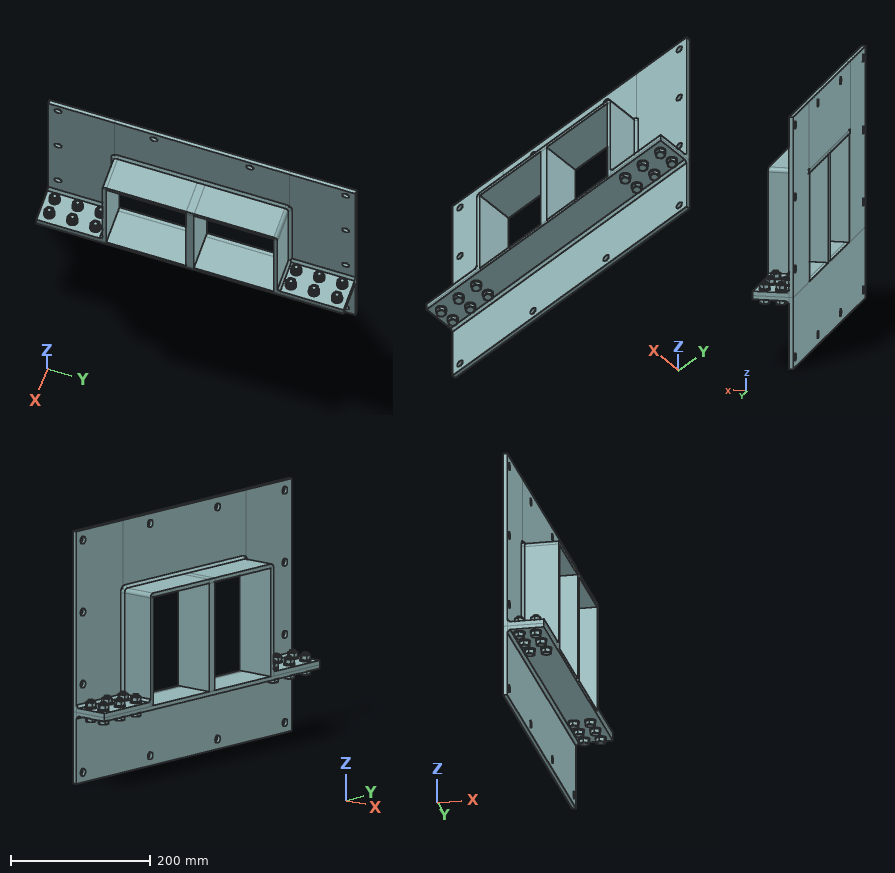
import cadquery as cq
import math

PANEL_WIDTH = 465.0
PANEL_HEIGHT = 371.5
DEPTH = 60.0
SHEET = 6.0
BORDER = 100.0
JOINT_Z = 106.0
FLANGE_TOP = JOINT_Z + SHEET
FLANGE_BOTTOM = JOINT_Z - SHEET

DIVIDER = 12.0
DUCT_WIDTH = PANEL_WIDTH - 2 * BORDER
DUCT_TOP = PANEL_HEIGHT - BORDER
HALF_PANEL = PANEL_WIDTH / 2
HALF_DUCT = DUCT_WIDTH / 2

WELD_LEG = 4.0

PANEL_HOLE_DIAMETER = 10.5
PANEL_HOLE_MARGIN = 15.0
HOLE_ROW_STEP = 106.0

BOLT_X = (21.0, 45.0)
BOLT_END_MARGIN = 15.0
BOLT_PITCH = 35.0
BOLTS_PER_ROW = 3
SHANK_DIAMETER = 8.0
SHANK_TIP_DIAMETER = 6.5
SHANK_PROJECTION = 3.0
WASHER_DIAMETER = 16.0
WASHER_THICKNESS = 1.6
HEX_FLATS = 13.0
HEX_FACE_DIAMETER = 11.5
HEX_CHAMFER_ANGLE = 30.0
NUT_HEIGHT = 7.5
HEAD_HEIGHT = 6.5


def block(x_range, y_range, z_range):
    """Box spanning the given (low, high) ranges."""
    lows, highs = zip(x_range, y_range, z_range)
    sizes = [high - low for low, high in zip(lows, highs)]
    return cq.Workplane("XY").box(*sizes, centered=False).translate(lows)


def mirrored(body):
    """The body and its mirror image across Y = 0."""
    return [body, body.mirror("XZ")]


def panel_plates():
    thickness = (0, SHEET)
    lower = block(thickness, (-HALF_PANEL, HALF_PANEL), (0, JOINT_Z))
    upper = block(thickness, (-HALF_DUCT, HALF_DUCT), (DUCT_TOP, PANEL_HEIGHT))
    side = block(thickness, (HALF_DUCT, HALF_PANEL), (JOINT_Z, PANEL_HEIGHT))
    return [lower, upper] + mirrored(side)


def flanges():
    reach = (SHEET, DEPTH)
    lower = block(reach, (-HALF_PANEL, HALF_PANEL), (FLANGE_BOTTOM, JOINT_Z))
    upper = block(reach, (HALF_DUCT, HALF_PANEL), (JOINT_Z, FLANGE_TOP))
    return [lower] + mirrored(upper)


def duct_walls():
    depth = (0, DEPTH)
    inner_y = HALF_DUCT - SHEET
    inner_top = DUCT_TOP - SHEET
    side = block(depth, (inner_y, HALF_DUCT), (JOINT_Z, inner_top))
    divider_y = (-DIVIDER / 2, DIVIDER / 2)
    divider = block(depth, divider_y, (JOINT_Z, inner_top))
    divider_cap = block(depth, divider_y, (inner_top, DUCT_TOP))
    roof = block(depth, (DIVIDER / 2, inner_y), (inner_top, DUCT_TOP))
    corner_bead = (
        cq.Workplane("YZ")
        .moveTo(inner_y, inner_top)
        .lineTo(HALF_DUCT, inner_top)
        .radiusArc((inner_y, DUCT_TOP), -SHEET)
        .close()
        .extrude(DEPTH)
    )
    return [divider, divider_cap] + mirrored(side) + mirrored(roof) + mirrored(corner_bead)


def duct_outline(x, growth):
    """Closed outline around the duct, grown outwards, at the given X."""
    half = HALF_DUCT + growth
    top = DUCT_TOP + growth
    radius = SHEET + growth
    return (
        cq.Workplane("YZ", origin=(x, 0, 0))
        .moveTo(-half, JOINT_Z)
        .lineTo(half, JOINT_Z)
        .lineTo(half, top - radius)
        .radiusArc((half - radius, top), -radius)
        .lineTo(radius - half, top)
        .radiusArc((-half, top - radius), -radius)
        .close()
    )


def duct_weld():
    """Fillet weld running round the duct where it meets the back of the panel."""
    wide = duct_outline(SHEET, WELD_LEG).val()
    narrow = duct_outline(SHEET + WELD_LEG, 0).val()
    bead = cq.Workplane(cq.Solid.makeLoft([wide, narrow], True))
    return bead.cut(duct_outline(SHEET, 0).extrude(DEPTH))


def weld_bead(plane, origin, up, length):
    """Triangular bead: one leg along the plane's first axis, one up or down its second."""
    return (
        cq.Workplane(plane, origin=origin)
        .polyline([(0, 0), (WELD_LEG, 0), (0, up * WELD_LEG)])
        .close()
        .extrude(length)
    )


def flange_welds():
    """Fillet welds along the flange roots and beside the duct walls."""
    under = weld_bead("XZ", (SHEET, HALF_PANEL, FLANGE_BOTTOM), -1, PANEL_WIDTH)
    over = weld_bead("XZ", (SHEET, HALF_PANEL, FLANGE_TOP), 1, BORDER)
    beside_duct = weld_bead("YZ", (SHEET, HALF_DUCT, FLANGE_TOP), 1, DEPTH - SHEET)
    return [under] + mirrored(over) + mirrored(beside_duct)


def chamfered_hexagon(height):
    """Hexagon on Z = 0 whose upper corners are turned off by a shallow cone."""
    corner_diameter = HEX_FLATS / math.cos(math.pi / 6)
    slope = math.tan(math.radians(HEX_CHAMFER_ANGLE))
    corner_drop = (corner_diameter - HEX_FACE_DIAMETER) / 2 * slope
    hexagon = (
        cq.Workplane("XY")
        .polygon(6, corner_diameter)
        .extrude(height)
        .rotate((0, 0, 0), (0, 0, 1), 90)
    )
    turned = (
        cq.Workplane("XZ")
        .polyline([
            (0, 0),
            (corner_diameter / 2, 0),
            (corner_diameter / 2, height - corner_drop),
            (HEX_FACE_DIAMETER / 2, height),
            (0, height),
        ])
        .close()
        .revolve(360, (0, 0, 0), (0, 1, 0))
    )
    return hexagon.intersect(turned)


def washer():
    return cq.Workplane("XY").circle(WASHER_DIAMETER / 2).extrude(WASHER_THICKNESS)


def bolt_parts():
    """Head, washers, nut and projecting shank of one bolt, on the axis X = Y = 0."""
    nut_base = FLANGE_TOP + WASHER_THICKNESS
    nut_top = nut_base + NUT_HEIGHT
    shank = (
        cq.Workplane("XY", origin=(0, 0, nut_top))
        .circle(SHANK_DIAMETER / 2)
        .extrude(SHANK_PROJECTION)
        .faces(">Z")
        .chamfer((SHANK_DIAMETER - SHANK_TIP_DIAMETER) / 2)
    )
    nut_up = chamfered_hexagon(NUT_HEIGHT).translate((0, 0, nut_base))
    nut_down = chamfered_hexagon(NUT_HEIGHT).mirror("XY").translate((0, 0, nut_top))
    nut = nut_up.intersect(nut_down)
    head = chamfered_hexagon(HEAD_HEIGHT).mirror("XY")
    return [
        washer().translate((0, 0, FLANGE_TOP)),
        nut,
        shank,
        washer().mirror("XY").translate((0, 0, FLANGE_BOTTOM)),
        head.translate((0, 0, FLANGE_BOTTOM - WASHER_THICKNESS)),
    ]


def bolts():
    parts = []
    for x in BOLT_X:
        for index in range(BOLTS_PER_ROW):
            y = HALF_PANEL - BOLT_END_MARGIN - index * BOLT_PITCH
            for part in bolt_parts():
                parts += mirrored(part.translate((x, y, 0)))
    return parts


def panel_holes():
    """Cutters for the holes round the edge of the panel."""
    edge_y = HALF_PANEL - PANEL_HOLE_MARGIN
    top_z = PANEL_HEIGHT - PANEL_HOLE_MARGIN
    inner_y = edge_y / 3
    points = []
    for y in (-edge_y, -inner_y, inner_y, edge_y):
        points += [(y, PANEL_HOLE_MARGIN), (y, top_z)]
    for y in (-edge_y, edge_y):
        points += [(y, top_z - row * HOLE_ROW_STEP) for row in (1, 2)]
    return cq.Workplane("YZ").pushPoints(points).circle(PANEL_HOLE_DIAMETER / 2).extrude(SHEET)


pieces = panel_plates() + flanges() + duct_walls() + [duct_weld()] + flange_welds() + bolts()
first, *others = [piece.val() for piece in pieces]
weldment = cq.Workplane(first.fuse(*others))
result = weldment.cut(panel_holes(), clean=False)